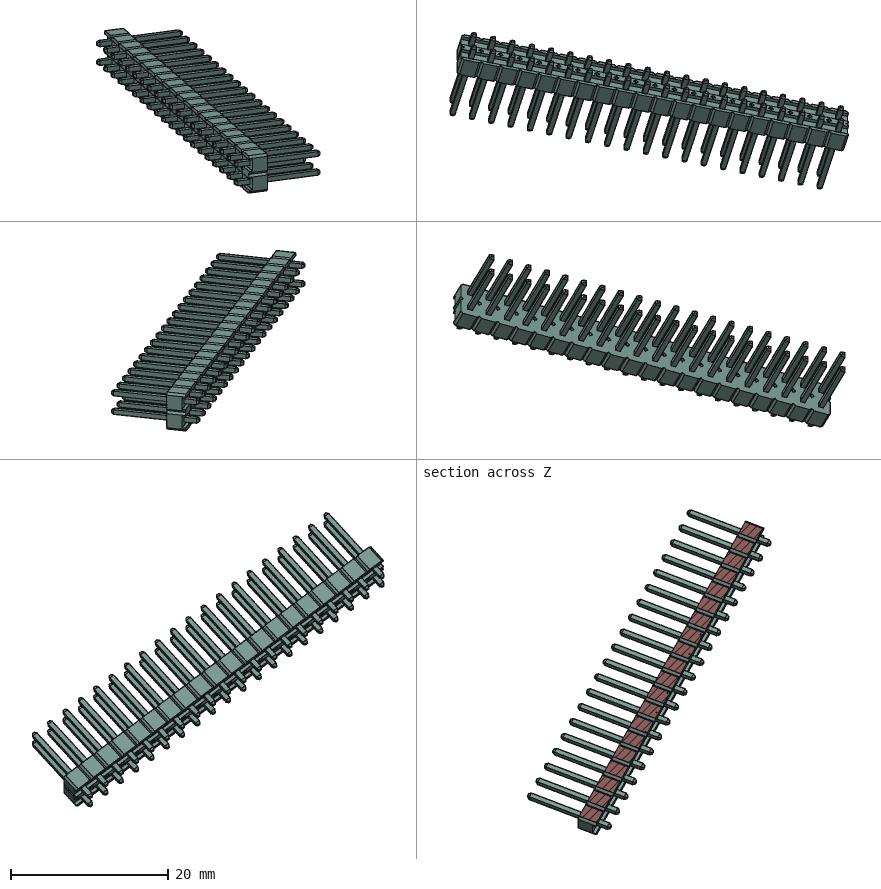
import cadquery as cq

pitch = 2.54
columns = 20
rows = 2
overall_depth = 11.6

body_depth = 2.5
cell_chamfer = 0.3
groove_width = 1.54
groove_depth = 0.45

pin_size = 0.65
tip_size = 0.35
tip_length = 0.325
tail_length = 1.5

body_length = columns * pitch
pin_front = -tail_length
pin_back = pin_front + overall_depth
column_centres = [(i - (columns - 1) / 2) * pitch for i in range(columns)]
row_centres = [(j - (rows - 1) / 2) * pitch for j in range(rows)]


def make_cell(x, z):
    """One square housing cell with its four long edges chamfered."""
    cell = cq.Workplane("XY").box(pitch, body_depth, pitch)
    return cell.edges("|Y").chamfer(cell_chamfer).translate((x, body_depth / 2, z))


def make_groove(z):
    """Cutter for the groove that runs the full length of one row in the front face."""
    groove = cq.Workplane("XY").box(body_length, groove_depth, groove_width)
    return groove.translate((0, groove_depth / 2, z))


def make_tip(x, z, y_base, direction):
    """Tapered pin tip that starts at y_base and narrows along direction (+1 or -1)."""
    plane = cq.Plane(origin=(x, y_base, z), xDir=(1, 0, 0), normal=(0, direction, 0))
    base = cq.Workplane(plane).rect(pin_size, pin_size)
    return base.workplane(offset=tip_length).rect(tip_size, tip_size).loft(ruled=True)


def make_pin(x, z):
    """Square pin through the housing, tapered at both ends."""
    shaft_length = overall_depth - 2 * tip_length
    shaft_centre = (pin_front + pin_back) / 2
    shaft = cq.Workplane("XY").box(pin_size, shaft_length, pin_size)
    shaft = shaft.translate((x, shaft_centre, z))
    front_tip = make_tip(x, z, pin_front + tip_length, -1)
    back_tip = make_tip(x, z, pin_back - tip_length, 1)
    return shaft.union(front_tip).union(back_tip)


def fuse(parts):
    """Join a list of single-solid workplanes into one shape."""
    solids = [part.val() for part in parts]
    return cq.Workplane("XY").newObject([solids[0].fuse(*solids[1:])])


positions = [(x, z) for x in column_centres for z in row_centres]

housing = fuse([make_cell(x, z) for x, z in positions])
for row_z in row_centres:
    housing = housing.cut(make_groove(row_z))

pins = [make_pin(x, z).val() for x, z in positions]
result = cq.Workplane("XY").newObject([housing.val().fuse(*pins)]).clean()